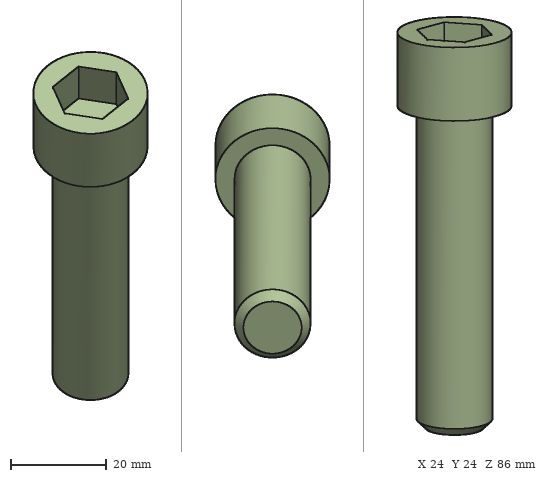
import cadquery as cq
import math

total_length = 86.0
head_diameter = 24.0
head_height = 16.0
shank_diameter = 16.0
tip_chamfer = 1.9
socket_across_flats = 14.0
socket_depth = 0.6 * head_height

shank_length = total_length - head_height
socket_across_corners = socket_across_flats / math.cos(math.pi / 6)


def make_head():
    """Cylindrical head with a hexagonal socket whose corners point along X."""
    head = cq.Workplane("XY").circle(head_diameter / 2).extrude(head_height)
    socket = (
        cq.Workplane("XY", origin=(0, 0, head_height))
        .polygon(6, socket_across_corners)
        .extrude(-socket_depth)
    )
    return head.cut(socket)


def make_shank():
    """Smooth cylindrical shank with a chamfered tip."""
    return (
        cq.Workplane("XY")
        .circle(shank_diameter / 2)
        .extrude(-shank_length)
        .faces("<Z")
        .chamfer(tip_chamfer)
    )


result = make_head().union(make_shank())